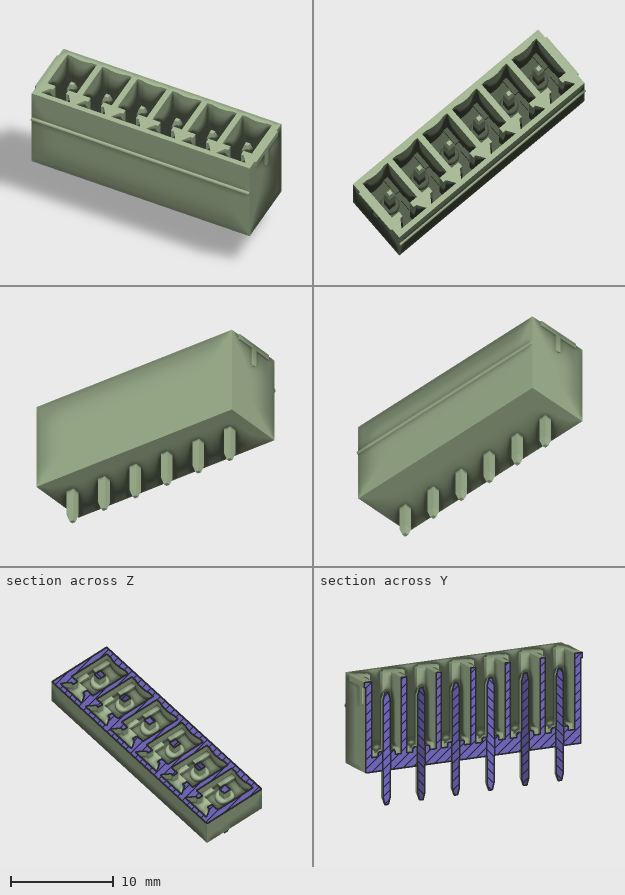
import cadquery as cq

POLES = 6
PITCH = 3.81
POLE_X = [(i - (POLES - 1) / 2) * PITCH for i in range(POLES)]

TOTAL_LENGTH = 24.05
KEY_RISE = 0.17
HOUSING_LENGTH = TOTAL_LENGTH - 2 * KEY_RISE
HOUSING_DEPTH = 6.97
HOUSING_HEIGHT = 9.2
BACK_Y = 2.8
FRONT_Y = BACK_Y - HOUSING_DEPTH
MIDDLE_Y = (BACK_Y + FRONT_Y) / 2

BEAD_RADIUS = 0.22
BEAD_DROP = 3.42
BEAD_Z = HOUSING_HEIGHT - BEAD_DROP

KEY_BAR_WIDTH = 4.8
KEY_BAR_HEIGHT = 0.58
KEY_STEM_WIDTH = 0.58
KEY_LENGTH = 2.5

SOCKET_WIDTH = 3.2
SOCKET_DEPTH = 7.22
BACK_WALL = 0.58
SOCKET_BACK_Y = BACK_Y - BACK_WALL
CHAMBER_LENGTH = 4.43
SHOULDER_Y = SOCKET_BACK_Y - CHAMBER_LENGTH
NECK_WIDTH = 1.4
NECK_LENGTH = 0.58
DOVETAIL_WIDTH = 2.02
DOVETAIL_LENGTH = 0.87
DOVETAIL_BACK_Y = SHOULDER_Y - NECK_LENGTH
DOVETAIL_FRONT_Y = DOVETAIL_BACK_Y - DOVETAIL_LENGTH
FLOOR_Z = HOUSING_HEIGHT - SOCKET_DEPTH

RECESS_WIDTH = 2.21
RECESS_LENGTH = 3.92
RECESS_DEPTH = 0.48
BULGE_RISE = 0.17

COLLAR_DIAMETER = 1.9
COLLAR_ROUND = 0.25

PIN_WIDTH = 0.82
PIN_TIP_WIDTH = 0.4
PIN_TAPER = 0.75
PIN_TAIL = 3.49
PIN_SETBACK = 1.3
PIN_TOP_Z = HOUSING_HEIGHT - PIN_SETBACK


def make_block():
    return (
        cq.Workplane("XY")
        .center(0, MIDDLE_Y)
        .box(HOUSING_LENGTH, HOUSING_DEPTH, HOUSING_HEIGHT, centered=(True, True, False))
    )


def make_bead():
    return (
        cq.Workplane("YZ", origin=(-HOUSING_LENGTH / 2, FRONT_Y, BEAD_Z))
        .circle(BEAD_RADIUS)
        .extrude(HOUSING_LENGTH)
    )


def make_key_pair():
    """T-shaped keys, extruded the full length so that they stand proud of both end faces."""
    bar_half = KEY_BAR_WIDTH / 2
    stem_half = KEY_STEM_WIDTH / 2
    return (
        cq.Workplane("YZ", origin=(-TOTAL_LENGTH / 2, MIDDLE_Y, HOUSING_HEIGHT))
        .moveTo(-bar_half, 0)
        .lineTo(-bar_half, -KEY_BAR_HEIGHT)
        .lineTo(-stem_half, -KEY_BAR_HEIGHT)
        .lineTo(-stem_half, stem_half - KEY_LENGTH)
        .threePointArc((0, -KEY_LENGTH), (stem_half, stem_half - KEY_LENGTH))
        .lineTo(stem_half, -KEY_BAR_HEIGHT)
        .lineTo(bar_half, -KEY_BAR_HEIGHT)
        .lineTo(bar_half, 0)
        .close()
        .extrude(TOTAL_LENGTH)
    )


def make_socket(x):
    """Open space of one socket, with its bulged back wall and its dovetail slot."""
    half = SOCKET_WIDTH / 2
    neck_half = NECK_WIDTH / 2
    dovetail_half = DOVETAIL_WIDTH / 2
    bulge_half = RECESS_WIDTH / 2
    return (
        cq.Workplane("XY", origin=(x, 0, FLOOR_Z))
        .moveTo(-half, SOCKET_BACK_Y)
        .lineTo(-half, SHOULDER_Y)
        .lineTo(-neck_half, SHOULDER_Y)
        .lineTo(-neck_half, DOVETAIL_BACK_Y)
        .lineTo(-dovetail_half, DOVETAIL_BACK_Y)
        .lineTo(-half, DOVETAIL_FRONT_Y)
        .lineTo(half, DOVETAIL_FRONT_Y)
        .lineTo(dovetail_half, DOVETAIL_BACK_Y)
        .lineTo(neck_half, DOVETAIL_BACK_Y)
        .lineTo(neck_half, SHOULDER_Y)
        .lineTo(half, SHOULDER_Y)
        .lineTo(half, SOCKET_BACK_Y)
        .lineTo(bulge_half, SOCKET_BACK_Y)
        .threePointArc((0, SOCKET_BACK_Y - BULGE_RISE), (-bulge_half, SOCKET_BACK_Y))
        .close()
        .extrude(SOCKET_DEPTH)
    )


def make_floor_recess(x):
    """Cross-shaped recess in a socket floor, kept within the plan of the socket."""
    recess_z = FLOOR_Z - RECESS_DEPTH
    lengthwise = (
        cq.Workplane("XY", origin=(x, SOCKET_BACK_Y - RECESS_LENGTH / 2, recess_z))
        .rect(RECESS_WIDTH, RECESS_LENGTH)
        .extrude(RECESS_DEPTH)
    )
    crosswise = (
        cq.Workplane("XY", origin=(x, 0, recess_z))
        .rect(SOCKET_WIDTH, PIN_WIDTH)
        .extrude(RECESS_DEPTH)
    )
    cross = lengthwise.union(crosswise)
    return cross.intersect(make_socket(x).translate((0, 0, -RECESS_DEPTH)))


def make_collar(x):
    """Collar that rises from the recess to the socket floor level, with a rounded rim."""
    return (
        cq.Workplane("XY", origin=(x, 0, FLOOR_Z - RECESS_DEPTH))
        .circle(COLLAR_DIAMETER / 2)
        .extrude(RECESS_DEPTH)
        .faces(">Z")
        .edges()
        .fillet(COLLAR_ROUND)
    )


def make_pin_end(x, z, direction):
    """Tapered pin end that starts at height z and points up (1) or down (-1)."""
    return (
        cq.Workplane("XY", origin=(x, 0, z))
        .rect(PIN_WIDTH, PIN_WIDTH)
        .workplane(offset=direction * PIN_TAPER)
        .rect(PIN_TIP_WIDTH, PIN_TIP_WIDTH)
        .loft()
    )


def make_pin(x):
    shank_bottom = PIN_TAPER - PIN_TAIL
    shank_top = PIN_TOP_Z - PIN_TAPER
    shank = (
        cq.Workplane("XY", origin=(x, 0, shank_bottom))
        .rect(PIN_WIDTH, PIN_WIDTH)
        .extrude(shank_top - shank_bottom)
    )
    return shank.union(make_pin_end(x, shank_top, 1)).union(make_pin_end(x, shank_bottom, -1))


def make_housing(pins):
    body = make_block().union(make_bead()).union(make_key_pair())
    for x, pin in zip(POLE_X, pins):
        body = body.cut(make_socket(x)).cut(make_floor_recess(x))
        body = body.union(make_collar(x)).cut(pin)
    return body


pins = [make_pin(x) for x in POLE_X]
housing = make_housing(pins)

result = cq.Compound.makeCompound([housing.solids().val(), *[pin.solids().val() for pin in pins]])